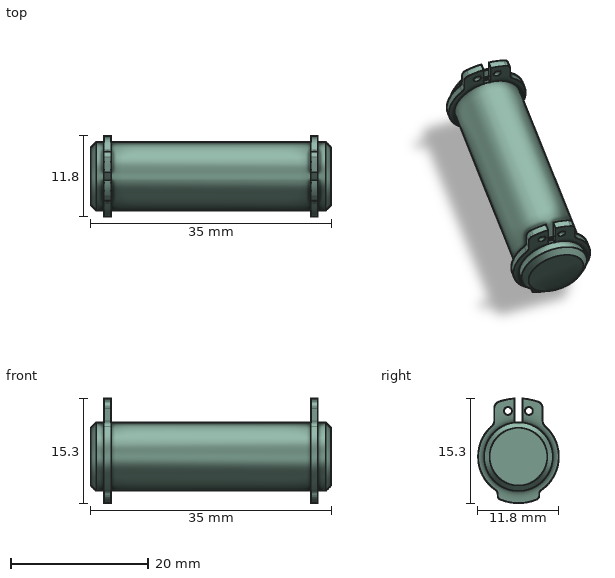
import cadquery as cq
import math

pin_length = 35.0
pin_radius = 5.0
end_chamfer_length = 0.8
end_chamfer_depth = 0.8

ring_thickness = 1.05
ring_end_distance = 1.92
ring_radius = 11.8 / 2
groove_radius = 4.2

ear_half_width = 3.55
ear_tip_radius = 8.5
ear_rounding = 1.05
slot_width = 1.12
ear_hole_diameter = 1.12
ear_hole_spacing = 3.05
ear_hole_height = 6.65

tab_half_width = 3.05
tab_tip_radius = 6.8
tab_rounding = 0.65

UP = 1
DOWN = -1


def make_pin():
    """Round pin with a conical chamfer at each end."""
    half_length = pin_length / 2
    end_radius = pin_radius - end_chamfer_depth
    shoulder = half_length - end_chamfer_length
    profile = [
        (-half_length, 0),
        (-half_length, end_radius),
        (-shoulder, pin_radius),
        (shoulder, pin_radius),
        (half_length, end_radius),
        (half_length, 0),
    ]
    return cq.Workplane("XZ").polyline(profile).close().revolve(360, (0, 0), (1, 0))


def make_disc(radius):
    """Disc around the pin axis, as thick as a ring."""
    return cq.Workplane("YZ").circle(radius).extrude(ring_thickness)


def make_strip(width, height, direction):
    """Plate as thick as a ring, reaching from the pin axis straight up or down."""
    return (
        cq.Workplane("YZ")
        .center(0, direction * height / 2)
        .rect(width, height)
        .extrude(ring_thickness)
    )


def round_corners(plate, half_width, arc_radius, rounding, direction):
    """Fillet both edges where the sides of a lobe meet an arc about the pin axis."""
    corner_height = direction * math.sqrt(arc_radius**2 - half_width**2)
    margin = rounding / 2
    corners = cq.selectors.BoxSelector(
        (0, -half_width - margin, corner_height - margin),
        (ring_thickness, half_width + margin, corner_height + margin),
    )
    return plate.edges("|X").edges(corners).fillet(rounding)


def add_lobe(plate, half_width, tip_radius, rounding, direction):
    """Add a lobe with a tip concentric to the pin, rounded at its tip and blended into the ring."""
    lobe = make_disc(tip_radius).intersect(make_strip(2 * half_width, tip_radius, direction))
    lobe = round_corners(lobe, half_width, tip_radius, rounding, direction)
    plate = plate.union(lobe)
    return round_corners(plate, half_width, ring_radius, rounding, direction)


def make_ring():
    """Retaining ring with its first face on the YZ plane, bored to sit on the groove bottom."""
    plate = make_disc(ring_radius)
    plate = add_lobe(plate, ear_half_width, ear_tip_radius, ear_rounding, UP)
    plate = add_lobe(plate, tab_half_width, tab_tip_radius, tab_rounding, DOWN)

    slot = make_strip(slot_width, ear_tip_radius, UP)
    ear_holes = (
        cq.Workplane("YZ")
        .pushPoints([(side * ear_hole_spacing / 2, ear_hole_height) for side in (-1, 1)])
        .circle(ear_hole_diameter / 2)
        .extrude(ring_thickness)
    )
    return plate.cut(slot).cut(ear_holes).cut(make_disc(groove_radius))


def make_groove():
    """Annular volume removed from the pin where a ring sits."""
    return make_disc(ring_radius).cut(make_disc(groove_radius))


ring = make_ring()
groove = make_groove()
first_ring_start = -pin_length / 2 + ring_end_distance
second_ring_start = pin_length / 2 - ring_end_distance - ring_thickness

result = make_pin()
for ring_start in (first_ring_start, second_ring_start):
    position = (ring_start, 0, 0)
    result = result.cut(groove.translate(position))
    result = result.union(ring.translate(position))